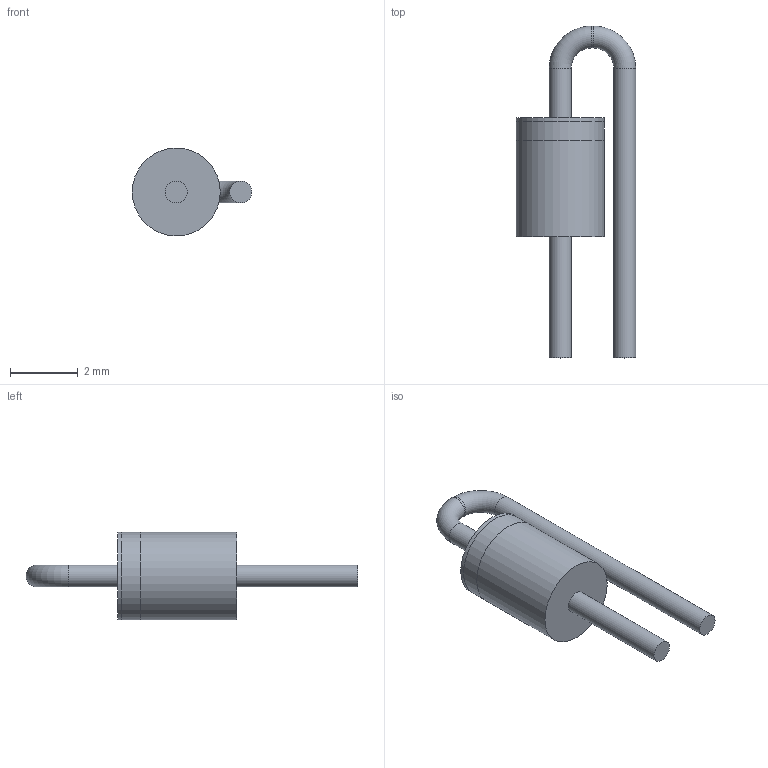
import cadquery as cq


overall_length = 9.81
body_diameter = 2.6
body_length = 3.52
band_width = 0.55
band_end_gap = 0.12
lead_diameter = 0.65
lead_pitch = 1.905
front_lead_length = 3.58
bend_radius = 0.925

body_radius = body_diameter / 2
lead_radius = lead_diameter / 2
main_length = body_length - band_width - band_end_gap
lead_start = -front_lead_length
bend_top = lead_start + overall_length - lead_radius
bend_start = bend_top - bend_radius


def body_section(start, length):
    """Cylinder on the Y axis that runs from start toward +Y."""
    return cq.Workplane("XZ", origin=(0, start, 0)).circle(body_radius).extrude(-length)


def make_body():
    """Stack the main section, the band and the rim, keeping the circles between them."""
    body = body_section(0, main_length)
    body = body.union(body_section(main_length, band_width), clean=False)
    return body.union(body_section(main_length + band_width, band_end_gap), clean=False)


def make_lead():
    """Sweep the round wire through the body, around two quarter bends and back."""
    path = (
        cq.Workplane("XY")
        .moveTo(0, lead_start)
        .lineTo(0, bend_start)
        .radiusArc((bend_radius, bend_top), bend_radius)
        .lineTo(lead_pitch - bend_radius, bend_top)
        .radiusArc((lead_pitch, bend_start), bend_radius)
        .lineTo(lead_pitch, lead_start)
    )
    return cq.Workplane("XZ", origin=(0, lead_start, 0)).circle(lead_radius).sweep(path)


result = make_body().union(make_lead(), clean=False)